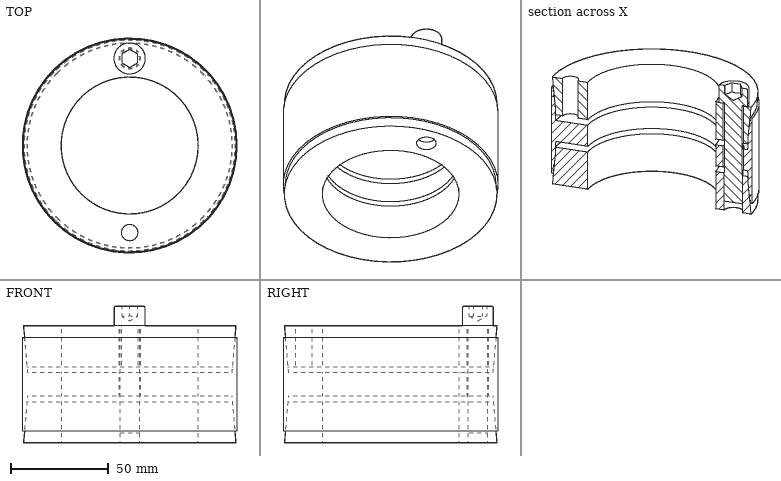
import cadquery as cq
import math


outer_diameter = 110.0
bore_diameter = 70.0
ring_stack_height = 60.0
mid_height = ring_stack_height / 2

ring_height = 21.0
ring_face_diameter = 108.9
ring_exposed_height = 6.0
taper_angle = 5.0
axial_gap = 3.0

bolt_circle_radius = 44.5
clearance_diameter = 11.0
jack_hole_diameter = 8.4
shank_diameter = 10.0
shank_length = 55.0
head_diameter = 16.0
head_height = 10.0
head_fillet = 1.0
hex_across_flats = 8.0
hex_depth = 5.0
socket_tip_angle = 120.0

outer_radius = outer_diameter / 2
bore_radius = bore_diameter / 2
ring_face_radius = ring_face_diameter / 2
sleeve_height = ring_stack_height - 2 * ring_exposed_height
web_height = ring_stack_height - 2 * (ring_height + axial_gap)
web_bottom = mid_height - web_height / 2
web_top = mid_height + web_height / 2
hex_corner_diameter = hex_across_flats / math.cos(math.radians(30))


def taper_radius(depth):
    """Radius of the shared taper at an axial depth below a ring's outer face."""
    return ring_face_radius - depth * math.tan(math.radians(taper_angle))


def vertical_cylinder(diameter, bottom, height, y=0.0):
    return cq.Workplane("XY", origin=(0, y, bottom)).circle(diameter / 2).extrude(height)


def make_lower_ring():
    """Plain tapered ring, wide face at the bottom."""
    profile = [
        (bore_radius, 0),
        (ring_face_radius, 0),
        (taper_radius(ring_height), ring_height),
        (bore_radius, ring_height),
    ]
    return cq.Workplane("XZ").polyline(profile).close().revolve()


def make_threaded_ring():
    """Lower ring with the hole that takes the screw shank."""
    hole = vertical_cylinder(shank_diameter, 0, ring_height, bolt_circle_radius)
    return make_lower_ring().cut(hole)


def make_clamping_ring():
    """Upper ring, mirrored from the lower one, with clearance and jacking holes."""
    ring = make_lower_ring().mirror("XY", (0, 0, mid_height))
    ring_bottom = ring_stack_height - ring_height
    clearance = vertical_cylinder(clearance_diameter, ring_bottom, ring_height, bolt_circle_radius)
    jack_hole = vertical_cylinder(jack_hole_diameter, ring_bottom, ring_height, -bolt_circle_radius)
    return ring.cut(clearance).cut(jack_hole)


def make_sleeve():
    """Outer sleeve: two tapered seats separated by a web with the common bore."""
    seat_mouth_radius = taper_radius(ring_exposed_height)
    seat_floor_radius = taper_radius(ring_height + axial_gap)
    sleeve_bottom = ring_exposed_height
    sleeve_top = sleeve_bottom + sleeve_height
    profile = [
        (seat_mouth_radius, sleeve_bottom),
        (outer_radius, sleeve_bottom),
        (outer_radius, sleeve_top),
        (seat_mouth_radius, sleeve_top),
        (seat_floor_radius, web_top),
        (bore_radius, web_top),
        (bore_radius, web_bottom),
        (seat_floor_radius, web_bottom),
    ]
    sleeve = cq.Workplane("XZ").polyline(profile).close().revolve()
    clearance = vertical_cylinder(clearance_diameter, web_bottom, web_height, bolt_circle_radius)
    return sleeve.cut(clearance)


def make_screw():
    """Socket head screw with its head seated on the clamping ring."""
    head = vertical_cylinder(head_diameter, ring_stack_height, head_height, bolt_circle_radius)
    head = head.faces(">Z").edges().fillet(head_fillet)
    shank_bottom = ring_stack_height - shank_length
    shank = vertical_cylinder(shank_diameter, shank_bottom, shank_length, bolt_circle_radius)
    return head.union(shank).cut(make_hex_socket())


def make_hex_socket():
    """Hexagonal recess, points along Y, whose conical floor meets the hexagon corners."""
    head_top = ring_stack_height + head_height
    tip_radius = hex_corner_diameter / 2
    tip_depth = tip_radius / math.tan(math.radians(socket_tip_angle / 2))
    hexagon = (
        cq.Workplane("XY", origin=(0, bolt_circle_radius, head_top))
        .transformed(rotate=(0, 0, 90))
        .polygon(6, hex_corner_diameter)
        .extrude(-hex_depth - tip_depth)
    )
    cone = cq.Solid.makeCone(
        tip_radius, 0, tip_depth,
        pnt=cq.Vector(0, bolt_circle_radius, head_top - hex_depth),
        dir=cq.Vector(0, 0, -1),
    )
    straight_bore = vertical_cylinder(hex_corner_diameter, head_top - hex_depth, hex_depth, bolt_circle_radius)
    return hexagon.intersect(straight_bore.union(cq.Workplane(cone)))


threaded_ring = make_threaded_ring()
clamping_ring = make_clamping_ring()
sleeve = make_sleeve()
screw = make_screw()

result = cq.Compound.makeCompound([threaded_ring.val(), clamping_ring.val(), sleeve.val(), screw.val()])